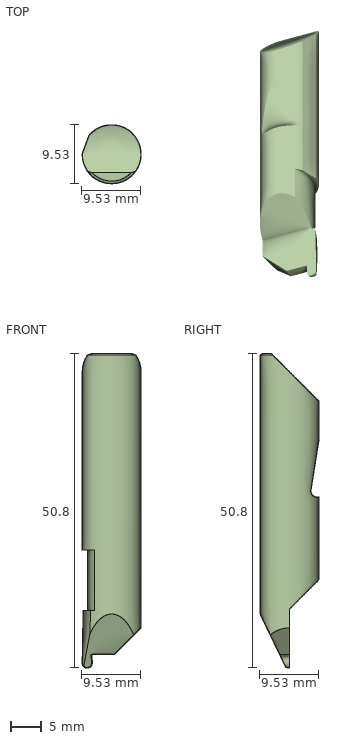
import cadquery as cq
import math


length = 50.8
shank_radius = 9.525 / 2
chamfer_width = 0.43
chamfer_angle = 30.0
top_bevel_y = -2.98
flat_angle = 20.0
flat_distance = 4.5

notch_bottom = 27.6
notch_top = 37.0
notch_angle = 9.0
notch_radius = 1.0

neck_top = 19.05
neck_bottom = 9.3
neck_half_width = 3.88
neck_middle_x = -3.93

face_bevel_height = 9.55
heel_height = 8.72
heel_angle = 25.7
shoulder_height = 2.22
corner_bevel_height = 6.5
tip_radius = 0.82
tip_relief = 7.0
side_relief = 20.0
back_taper = 1.0

margin = 5.0
outside = shank_radius + margin
tip_x = tip_radius - shank_radius


def tangent(degrees):
    return math.tan(math.radians(degrees))


def prism_along_x(points):
    """Prism through the whole part from an outline in (Y, Z)."""
    return cq.Workplane("YZ").polyline(points).close().extrude(outside, both=True)


def prism_along_y(points):
    """Prism through the whole part from an outline in (X, Z)."""
    return cq.Workplane("XZ").polyline(points).close().extrude(outside, both=True)


def make_shank():
    chamfer_height = chamfer_width * tangent(chamfer_angle)
    profile = [
        (0, 0),
        (shank_radius, 0),
        (shank_radius, length - chamfer_height),
        (shank_radius - chamfer_width, length),
        (0, length),
    ]
    return cq.Workplane("XZ").polyline(profile).close().revolve(360, (0, 0), (0, 1))


def top_bevel():
    outer_z = length - (outside - top_bevel_y)
    return prism_along_x([
        (top_bevel_y - margin, length + margin),
        (outside, outer_z),
        (outside, length + margin),
    ])


def long_flat():
    block = (
        cq.Workplane("XY")
        .box(margin, 2 * outside, length - neck_top, centered=(False, True, False))
        .translate((-flat_distance - margin, 0, neck_top))
    )
    return block.rotate((0, 0, 0), (0, 0, 1), -flat_angle)


def locating_notch():
    slope = tangent(notch_angle)
    root_y = shank_radius - (notch_top - notch_bottom) * slope
    outer_z = notch_top + margin / slope
    notch = prism_along_x([(root_y, notch_bottom), (outside, notch_bottom), (outside, outer_z)])
    return notch.edges("|X").edges("<Y").fillet(notch_radius)


def neck():
    edge_x = -math.sqrt(shank_radius**2 - neck_half_width**2)
    return (
        cq.Workplane("XY", origin=(0, 0, neck_bottom))
        .moveTo(edge_x, -neck_half_width)
        .threePointArc((neck_middle_x, 0), (edge_x, neck_half_width))
        .lineTo(-outside, neck_half_width)
        .lineTo(-outside, -neck_half_width)
        .close()
        .extrude(neck_top - neck_bottom)
    )


def cutting_face():
    return prism_along_x([
        (0, -margin),
        (0, face_bevel_height),
        (outside, face_bevel_height + outside),
        (outside, -margin),
    ])


def corner_bevel():
    bevel_x = shank_radius - (corner_bevel_height - shoulder_height)
    return prism_along_y([
        (-outside, -margin),
        (-outside, shoulder_height),
        (bevel_x, shoulder_height),
        (outside, corner_bevel_height + margin),
        (outside, -margin),
    ])


def make_tip():
    """Round-ended tip, relieved away from the cutting face, rooted inside the shank."""
    root_height = shoulder_height + tip_radius
    narrowing = (root_height - tip_radius) * tangent(back_taper)
    return (
        cq.Workplane("XZ")
        .moveTo(tip_x - tip_radius, tip_radius)
        .threePointArc((tip_x, 0), (tip_x + tip_radius, tip_radius))
        .lineTo(tip_x + tip_radius - narrowing, root_height)
        .lineTo(tip_x - tip_radius + narrowing, root_height)
        .close()
        .extrude(shank_radius / 2, taper=tip_relief)
    )


def heel():
    slope = tangent(heel_angle)
    return prism_along_x([
        (-outside, -margin),
        (-outside, heel_height + margin / slope),
        (-shank_radius + (heel_height + margin) * slope, -margin),
    ])


def side_clearance():
    """Wedge that relieves the -X side behind the cutting edge."""
    height = neck_bottom - tip_radius
    lean = height * tangent(back_taper)
    depth = shank_radius

    def section(edge_x):
        return [
            (edge_x - margin, 0),
            (edge_x, 0),
            (edge_x + depth * tangent(side_relief), -depth),
            (edge_x - margin, -depth),
        ]

    base = cq.Workplane("XY", origin=(0, 0, tip_radius)).polyline(section(-shank_radius)).close()
    lower = base.extrude(-tip_radius)
    upper = (
        cq.Workplane("XY", origin=(0, 0, tip_radius))
        .polyline(section(-shank_radius))
        .close()
        .workplane(offset=height)
        .polyline(section(lean - shank_radius))
        .close()
        .loft(ruled=True)
    )
    return upper.union(lower)


body = make_shank()
for cutter in (top_bevel(), long_flat(), locating_notch(), neck(), cutting_face(), corner_bevel()):
    body = body.cut(cutter)

result = body.union(make_tip()).cut(heel()).cut(side_clearance())